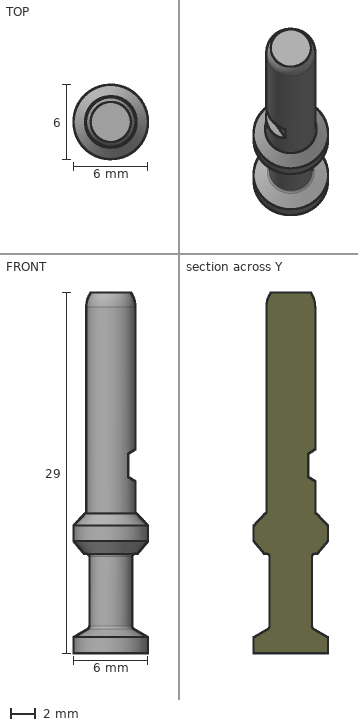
import cadquery as cq
import math

length = 29.0
shaft_radius = 3.97 / 2
neck_radius = 3.45 / 2
flange_radius = 6.0 / 2

base_disc_top = 1.3
base_cone_slope = math.radians(30)
base_blend_radius = 0.32

neck_top = 7.77
neck_fillet = 0.23
collar_bottom_radius = 2.15
collar_disc_bottom = 9.02
collar_disc_top = 10.27
shaft_fillet = 0.1
collar_top_radius = shaft_radius + shaft_fillet
collar_bottom = neck_top + neck_fillet
collar_top = 11.25

tip_height = 1.15
tip_start = length - tip_height
tip_radius = math.sqrt(shaft_radius**2 - tip_height**2)

recess_center = 15.1
recess_depth = 0.58
recess_floor_height = 1.85
recess_mouth_height = 2.58


def concave_fillet(profile, start, end, center):
    """Add an arc about the center, which lies on the open side of the profile."""
    radius = math.dist(end, center)
    to_chord = ((start[0] + end[0]) / 2 - center[0], (start[1] + end[1]) / 2 - center[1])
    stretch = radius / math.hypot(*to_chord)
    middle = (center[0] + to_chord[0] * stretch, center[1] + to_chord[1] * stretch)
    return profile.threePointArc(middle, end)


def pin_body():
    """Turn the half profile (radius, height) about the Z axis."""
    blend_center_radius = neck_radius + base_blend_radius
    cone_top_radius = blend_center_radius - base_blend_radius * math.sin(base_cone_slope)
    cone_top = base_disc_top + (flange_radius - cone_top_radius) * math.tan(base_cone_slope)
    blend_top = cone_top + base_blend_radius * math.cos(base_cone_slope)
    blend_center = (blend_center_radius, blend_top)
    profile = (
        cq.Workplane("XZ")
        .lineTo(flange_radius, 0)
        .lineTo(flange_radius, base_disc_top)
        .lineTo(cone_top_radius, cone_top)
    )
    profile = concave_fillet(
        profile,
        (cone_top_radius, cone_top),
        (neck_radius, blend_top),
        blend_center,
    )
    profile = profile.lineTo(neck_radius, neck_top)
    neck_fillet_outer = neck_radius + neck_fillet
    profile = concave_fillet(
        profile,
        (neck_radius, neck_top),
        (neck_fillet_outer, collar_bottom),
        (neck_fillet_outer, neck_top),
    )
    shaft_bottom = collar_top + shaft_fillet
    profile = (
        profile.lineTo(collar_bottom_radius, collar_bottom)
        .lineTo(flange_radius, collar_disc_bottom)
        .lineTo(flange_radius, collar_disc_top)
        .lineTo(collar_top_radius, collar_top)
    )
    profile = concave_fillet(
        profile,
        (collar_top_radius, collar_top),
        (shaft_radius, shaft_bottom),
        (collar_top_radius, shaft_bottom),
    )
    half_angle = math.asin(tip_height / shaft_radius) / 2
    tip_middle = (shaft_radius * math.cos(half_angle), tip_start + shaft_radius * math.sin(half_angle))
    profile = (
        profile.lineTo(shaft_radius, tip_start)
        .threePointArc(tip_middle, (tip_radius, length))
        .lineTo(0, length)
        .close()
    )
    return profile.revolve(360, (0, 0, 0), (0, 1, 0))


def recess_cutter():
    """Trapezoid running through the shaft along Y, widening outward to the shaft surface."""
    floor_x = shaft_radius - recess_depth
    half_floor = recess_floor_height / 2
    half_mouth = recess_mouth_height / 2
    return (
        cq.Workplane("XZ", origin=(0, 0, recess_center))
        .moveTo(floor_x, -half_floor)
        .lineTo(shaft_radius, -half_mouth)
        .lineTo(shaft_radius, half_mouth)
        .lineTo(floor_x, half_floor)
        .close()
        .extrude(shaft_radius, both=True)
    )


result = pin_body().cut(recess_cutter())